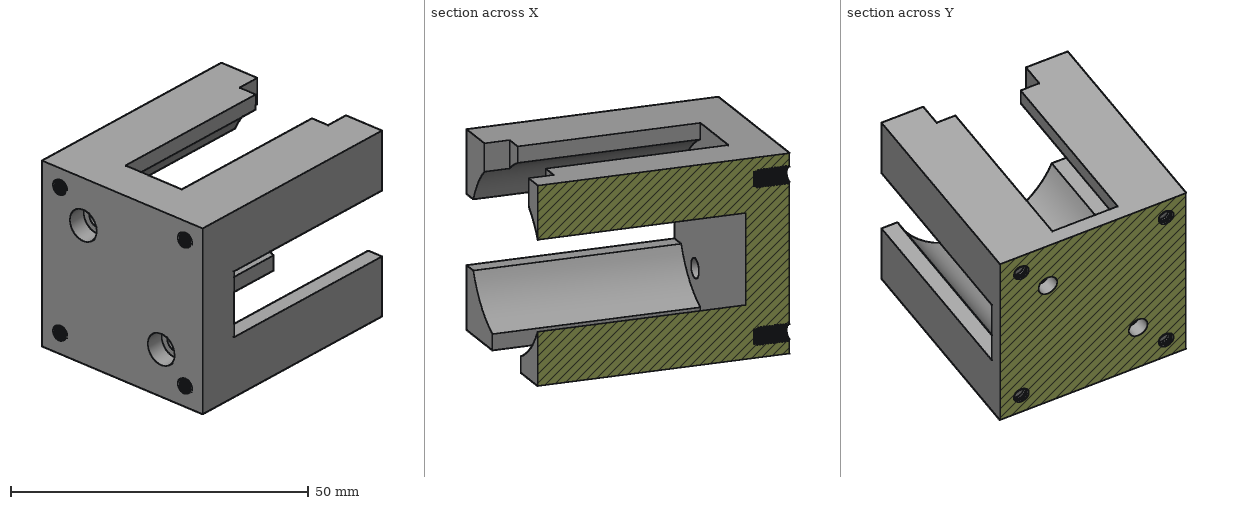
import cadquery as cq

WIDTH_X = 36.0
LENGTH_Y = 45.7
HEIGHT_Z = 35.65
FRONT_Y = -LENGTH_Y / 2
BACK_Y = LENGTH_Y / 2

WALL_THICKNESS = 8.0
BORE_DIAMETER = 32.35
SLOT_WIDTH = 12.6
HOLLOW_DEPTH = LENGTH_Y - WALL_THICKNESS

NOTCH_WIDTH = 19.85
NOTCH_LENGTH = 4.55

SCREW_OFFSET = 8.75
SCREW_DIAMETER = 3.5
COUNTERBORE_DIAMETER = 6.0
COUNTERBORE_DEPTH = 3.5

THREAD_OFFSET = 14.0
THREAD_MINOR_DIAMETER = 2.5
THREAD_MAJOR_DIAMETER = 3.1
THREAD_PITCH = 0.5
THREAD_DEPTH = 6.0
THREAD_ENTRY_ANGLE = 160.0
THREAD_MOUTH_RATIO = 0.8
THREAD_ROOT_FLAT = 0.05
THREAD_OVERLAP = 0.05


def box_from_back(width, length, height):
    """Box centred on the Y axis that runs inward from the open back end."""
    return (
        cq.Workplane("XY")
        .box(width, length, height)
        .translate((0, BACK_Y - length / 2, 0))
    )


def rod(diameter, start_y, length):
    """Cylinder on the Y axis that runs from start_y toward +Y."""
    return (
        cq.Workplane("XZ", origin=(0, start_y, 0))
        .circle(diameter / 2)
        .extrude(-length)
    )


def screw_hole_cutter():
    """Through hole with its counterbore on the front face."""
    through = rod(SCREW_DIAMETER, FRONT_Y, WALL_THICKNESS)
    return through.union(rod(COUNTERBORE_DIAMETER, FRONT_Y, COUNTERBORE_DEPTH))


def thread_cutter():
    """Drilled hole plus a helical V groove that starts one pitch in front of the face."""
    minor_radius = THREAD_MINOR_DIAMETER / 2
    major_radius = THREAD_MAJOR_DIAMETER / 2
    inner_radius = minor_radius - THREAD_OVERLAP
    half_mouth = THREAD_MOUTH_RATIO * THREAD_PITCH / 2
    half_root = THREAD_ROOT_FLAT / 2

    helix = cq.Wire.makeHelix(THREAD_PITCH, THREAD_DEPTH + THREAD_PITCH, minor_radius)
    groove = (
        cq.Workplane("XZ")
        .polyline([
            (inner_radius, -half_mouth),
            (major_radius, -half_root),
            (major_radius, half_root),
            (inner_radius, half_mouth),
        ])
        .close()
        .sweep(cq.Workplane(helix), isFrenet=True)
        .translate((0, 0, -THREAD_PITCH))
        .rotate((0, 0, 0), (0, 0, 1), -THREAD_ENTRY_ANGLE)
    )
    drill = cq.Workplane("XY").circle(minor_radius).extrude(THREAD_DEPTH + THREAD_PITCH)
    return (
        drill.union(groove)
        .rotate((0, 0, 0), (1, 0, 0), -90)
        .translate((0, FRONT_Y, 0))
    )


result = cq.Workplane("XY").box(WIDTH_X, LENGTH_Y, HEIGHT_Z)

result = result.cut(rod(BORE_DIAMETER, BACK_Y - HOLLOW_DEPTH, HOLLOW_DEPTH))
result = result.cut(box_from_back(SLOT_WIDTH, HOLLOW_DEPTH, HEIGHT_Z))
result = result.cut(box_from_back(WIDTH_X, HOLLOW_DEPTH, SLOT_WIDTH))

notch = box_from_back(NOTCH_WIDTH, NOTCH_LENGTH, HEIGHT_Z / 2)
result = result.cut(notch.translate((0, 0, HEIGHT_Z / 4)))

screw_hole = screw_hole_cutter()
for side in (-1, 1):
    result = result.cut(screw_hole.translate((side * SCREW_OFFSET, 0, -side * SCREW_OFFSET)))

threaded_hole = thread_cutter()
for side_x in (-1, 1):
    for side_z in (-1, 1):
        position = (side_x * THREAD_OFFSET, 0, side_z * THREAD_OFFSET)
        result = result.cut(threaded_hole.translate(position))